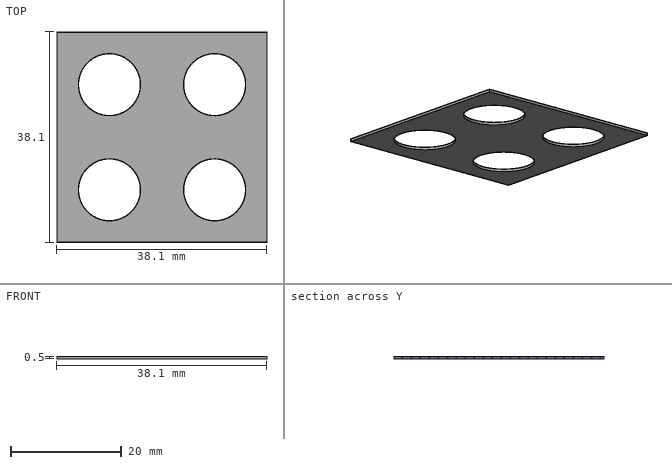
import cadquery as cq

plate_side = 38.1
plate_thickness = 0.5

holes_per_side = 2
hole_pitch = plate_side / holes_per_side
hole_diameter = 11.18


def make_plate():
    return cq.Workplane("XY").box(plate_side, plate_side, plate_thickness)


def cut_holes(plate):
    return (
        plate.faces(">Z")
        .workplane()
        .rarray(hole_pitch, hole_pitch, holes_per_side, holes_per_side)
        .hole(hole_diameter)
    )


result = cut_holes(make_plate())